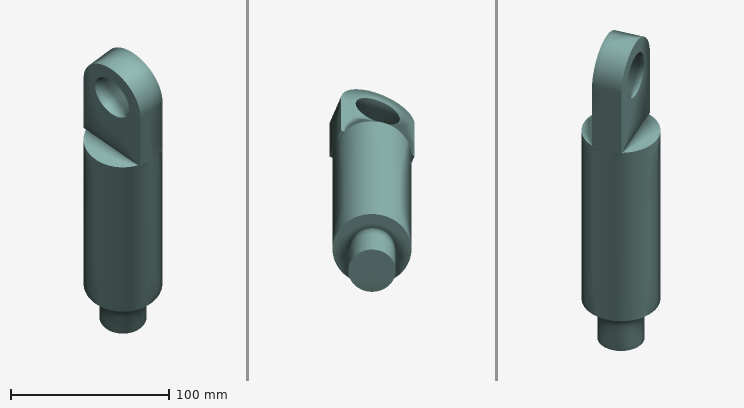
import cadquery as cq

body_diameter = 50.0
body_length = 130.0

pin_diameter = 30.0
pin_length = 30.0

eye_width = body_diameter
eye_radius = eye_width / 2
eye_thickness = 20.0
eye_height = 70.0
eye_hole_diameter = 30.0
eye_center_z = body_length + eye_height - eye_radius


def make_shaft():
    """Body with the smaller pin hanging below it, both along Z."""
    body = cq.Workplane("XY").circle(body_diameter / 2).extrude(body_length)
    pin = cq.Workplane("XY").circle(pin_diameter / 2).extrude(-pin_length)
    return body.union(pin)


def make_eye():
    """Flat plate with a round top and a cross hole along Y."""
    plate = (
        cq.Workplane("XZ")
        .moveTo(-eye_width / 2, body_length)
        .lineTo(-eye_width / 2, eye_center_z)
        .threePointArc((0, eye_center_z + eye_radius), (eye_width / 2, eye_center_z))
        .lineTo(eye_width / 2, body_length)
        .close()
        .extrude(eye_thickness / 2, both=True)
    )
    hole = (
        cq.Workplane("XZ")
        .center(0, eye_center_z)
        .circle(eye_hole_diameter / 2)
        .extrude(eye_thickness / 2, both=True)
    )
    return plate.cut(hole)


result = make_shaft().union(make_eye())